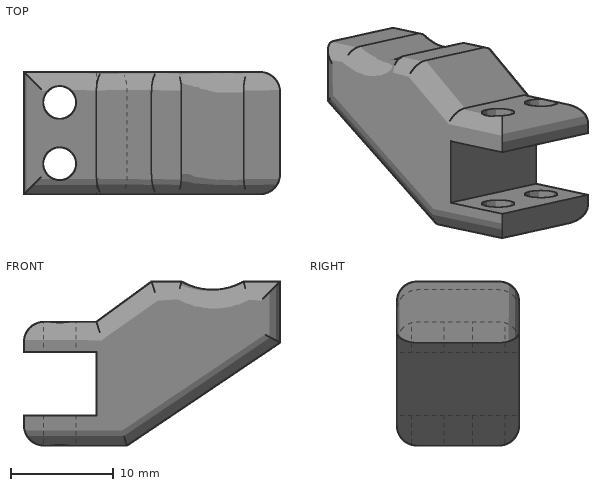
import cadquery as cq

length = 25.1
width = 12.0
height = 16.1
edge_radius = 2.0

bottom_length = 10.1
head_underside_z = 10.1
clevis_height = 12.15
clevis_top_length = 7.1
head_start_x = 12.5

saddle_start_x = 15.44
saddle_end_x = 21.5
saddle_depth = 0.8

slot_depth = clevis_top_length
slot_bottom_z = 2.99
slot_top_z = 9.15
hole_diameter = 3.2
hole_x = 3.51
hole_spacing = 6.0

end_face_tolerance = 0.003


def make_body():
    """Side outline extruded across the width, centred on Y = 0."""
    saddle_middle = ((saddle_start_x + saddle_end_x) / 2, height - saddle_depth)
    return (
        cq.Workplane("XZ")
        .moveTo(0, 0)
        .lineTo(bottom_length, 0)
        .lineTo(length, head_underside_z)
        .lineTo(length, height)
        .lineTo(saddle_end_x, height)
        .threePointArc(saddle_middle, (saddle_start_x, height))
        .lineTo(head_start_x, height)
        .lineTo(clevis_top_length, clevis_height)
        .lineTo(0, clevis_height)
        .close()
        .extrude(width / 2, both=True)
    )


def round_edges(body):
    """Round both side outlines and the clevis tips, leaving the upright tip edges sharp."""
    side_edges = body.faces("<Y or >Y").edges().vals()
    tip_edges = body.faces("<X").edges("|Y").vals()
    rounded = [edge for edge in side_edges if edge.Center().x > end_face_tolerance] + tip_edges
    return body.newObject(rounded).fillet(edge_radius)


def cut_slot(body):
    slot = cq.Workplane("XY").box(
        slot_depth, width, slot_top_z - slot_bottom_z, centered=(False, True, False)
    )
    return body.cut(slot.translate((0, 0, slot_bottom_z)))


def cut_holes(body):
    holes = (
        cq.Workplane("XY")
        .pushPoints([(hole_x, -hole_spacing / 2), (hole_x, hole_spacing / 2)])
        .circle(hole_diameter / 2)
        .extrude(height)
    )
    return body.cut(holes)


result = cut_holes(cut_slot(round_edges(make_body())))